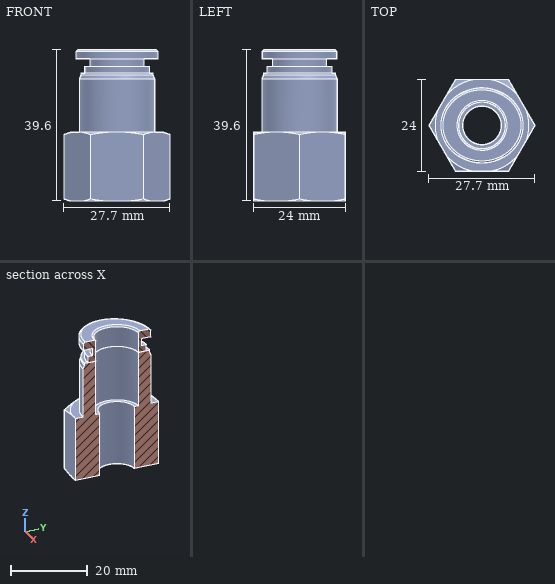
import cadquery as cq
import math

TOTAL_HEIGHT = 39.6

HEX_ACROSS_FLATS = 24.0
HEX_HEIGHT = 18.0
HEX_FACE_DIAMETER = 24.4
HEX_CHAMFER_HEIGHT = 0.6
BARREL_DIAMETER = 19.72
BARREL_TOP_Z = 31.95
LIP_DIAMETER = 18.9
LIP_BOTTOM_Z = 32.9
LIP_TOP_Z = 33.45
HOUSING_BORE_DIAMETER = 12.2
TUBE_STOP_Z = HEX_HEIGHT
THROUGH_DIAMETER = 10.0

COLLAR_DIAMETER = 17.0
COLLAR_TOP_Z = 35.25
NECK_DIAMETER = 14.2
FLANGE_BOTTOM_Z = 37.15
FLANGE_LENGTH_X = 21.45
FLANGE_WIDTH_Y = 19.55
FLANGE_EDGE_CHAMFER = 0.5
SLEEVE_BORE_DIAMETER = 12.15
SLEEVE_BORE_CHAMFER = 0.45


def cylinder(diameter, bottom_z, top_z):
    """Upright cylinder on the Z axis between two heights."""
    return cq.Workplane("XY").workplane(offset=bottom_z).circle(diameter / 2).extrude(top_z - bottom_z)


def make_hex_base():
    """Hexagonal prism, corners on +X and -X, with both ends chamfered by a cone."""
    corner_radius = HEX_ACROSS_FLATS / math.sqrt(3)
    face_radius = HEX_FACE_DIAMETER / 2
    prism = cq.Workplane("XY").polygon(6, 2 * corner_radius).extrude(HEX_HEIGHT)
    chamfer_envelope = (
        cq.Workplane("XZ")
        .moveTo(0, 0)
        .lineTo(face_radius, 0)
        .lineTo(corner_radius, HEX_CHAMFER_HEIGHT)
        .lineTo(corner_radius, HEX_HEIGHT - HEX_CHAMFER_HEIGHT)
        .lineTo(face_radius, HEX_HEIGHT)
        .lineTo(0, HEX_HEIGHT)
        .close()
        .revolve(360, (0, 0, 0), (0, 1, 0))
    )
    return prism.intersect(chamfer_envelope)


def make_barrel():
    """Round barrel that tapers at the top to a short lip."""
    return (
        cq.Workplane("XZ")
        .moveTo(0, HEX_HEIGHT)
        .lineTo(BARREL_DIAMETER / 2, HEX_HEIGHT)
        .lineTo(BARREL_DIAMETER / 2, BARREL_TOP_Z)
        .lineTo(LIP_DIAMETER / 2, LIP_BOTTOM_Z)
        .lineTo(LIP_DIAMETER / 2, LIP_TOP_Z)
        .lineTo(0, LIP_TOP_Z)
        .close()
        .revolve(360, (0, 0, 0), (0, 1, 0))
    )


def make_housing():
    """Hex base and barrel with a wide tube bore above a narrower through hole."""
    tube_bore = cylinder(HOUSING_BORE_DIAMETER, TUBE_STOP_Z, LIP_TOP_Z)
    through_hole = cylinder(THROUGH_DIAMETER, 0, TUBE_STOP_Z)
    return make_hex_base().union(make_barrel()).cut(tube_bore).cut(through_hole)


def make_flange():
    """Oval push flange with a chamfered top edge."""
    return (
        cq.Workplane("XY")
        .workplane(offset=FLANGE_BOTTOM_Z)
        .ellipse(FLANGE_LENGTH_X / 2, FLANGE_WIDTH_Y / 2)
        .extrude(TOTAL_HEIGHT - FLANGE_BOTTOM_Z)
        .faces(">Z")
        .edges()
        .chamfer(FLANGE_EDGE_CHAMFER)
    )


def make_sleeve():
    """Release sleeve seated on the housing lip, bored through with a chamfered mouth."""
    collar = cylinder(COLLAR_DIAMETER, LIP_TOP_Z, COLLAR_TOP_Z)
    neck = cylinder(NECK_DIAMETER, COLLAR_TOP_Z, FLANGE_BOTTOM_Z)
    bore = cylinder(SLEEVE_BORE_DIAMETER, LIP_TOP_Z, TOTAL_HEIGHT)
    sleeve = collar.union(neck).union(make_flange()).cut(bore)
    mouth_edge = sleeve.faces(">Z").edges(cq.selectors.RadiusNthSelector(0))
    return mouth_edge.chamfer(SLEEVE_BORE_CHAMFER)


housing = make_housing()
sleeve = make_sleeve()

result = cq.Compound.makeCompound([housing.val(), sleeve.val()])